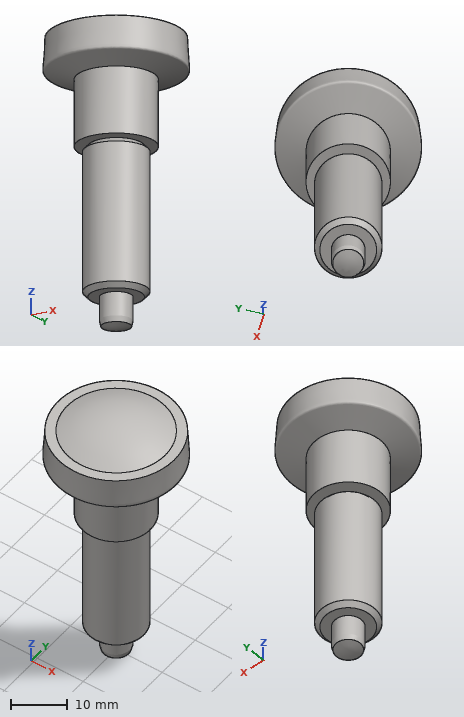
import cadquery as cq
import math

total_height = 57
tip_edge_z = 0.45
pin_end_z = 1.5
barrel_bottom_z = 6.0
collar_bottom_z = 34.1
collar_top_z = 46.6
knob_corner_z = 48.1
knob_taper_start_z = 48.85
knob_rim_top_z = 54.4

tip_diameter = 5.5
pin_diameter = 6.0
barrel_diameter = 11.95
collar_diameter = 14.95
knob_diameter = 26.0
knob_top_diameter = 25.3
dome_diameter = 21.3

barrel_chamfer = 0.95
knob_edge_round = 0.45


def spherical_cap_middle(radius, edge_z, apex_z):
    """Point halfway along the arc from the edge of a spherical cap to its apex on the Z axis."""
    cap_height = apex_z - edge_z
    half_angle = math.atan2(cap_height, radius)
    sphere_radius = radius / math.sin(2 * half_angle)
    middle_drop = sphere_radius * (1 - math.cos(half_angle))
    return sphere_radius * math.sin(half_angle), apex_z - middle_drop


def make_knob():
    """Tapered disc with a conical underside, a rounded lower edge and a domed top."""
    edge_radius = knob_diameter / 2
    profile = (
        cq.Workplane("XZ")
        .moveTo(0, collar_top_z)
        .lineTo(collar_diameter / 2, collar_top_z)
        .lineTo(edge_radius, knob_corner_z)
        .lineTo(edge_radius, knob_taper_start_z)
        .lineTo(knob_top_diameter / 2, knob_rim_top_z)
        .lineTo(dome_diameter / 2, knob_rim_top_z)
        .threePointArc(
            spherical_cap_middle(dome_diameter / 2, knob_rim_top_z, total_height),
            (0, total_height),
        )
        .close()
    )
    knob = profile.revolve(360, (0, 0, 0), (0, 1, 0))
    lower_edge = cq.selectors.NearestToPointSelector((0, 0, knob_corner_z))
    return knob.edges(lower_edge).fillet(knob_edge_round)


def make_cylinder(diameter, bottom_z, top_z):
    """Upright cylinder on the Z axis."""
    return cq.Workplane("XY").workplane(offset=bottom_z).circle(diameter / 2).extrude(top_z - bottom_z)


def make_barrel():
    """Guide barrel chamfered at both ends."""
    barrel = make_cylinder(barrel_diameter, barrel_bottom_z, collar_bottom_z)
    return barrel.edges("%CIRCLE").chamfer(barrel_chamfer)


def make_pin():
    """Plunger pin with a slightly tapered end and a shallow domed tip."""
    profile = (
        cq.Workplane("XZ")
        .moveTo(0, 0)
        .threePointArc(spherical_cap_middle(tip_diameter / 2, tip_edge_z, 0), (tip_diameter / 2, tip_edge_z))
        .lineTo(pin_diameter / 2, pin_end_z)
        .lineTo(pin_diameter / 2, barrel_bottom_z)
        .lineTo(0, barrel_bottom_z)
        .close()
    )
    return profile.revolve(360, (0, 0, 0), (0, 1, 0))


collar = make_cylinder(collar_diameter, collar_bottom_z, collar_top_z)
result = make_pin().union(make_barrel()).union(collar).union(make_knob())